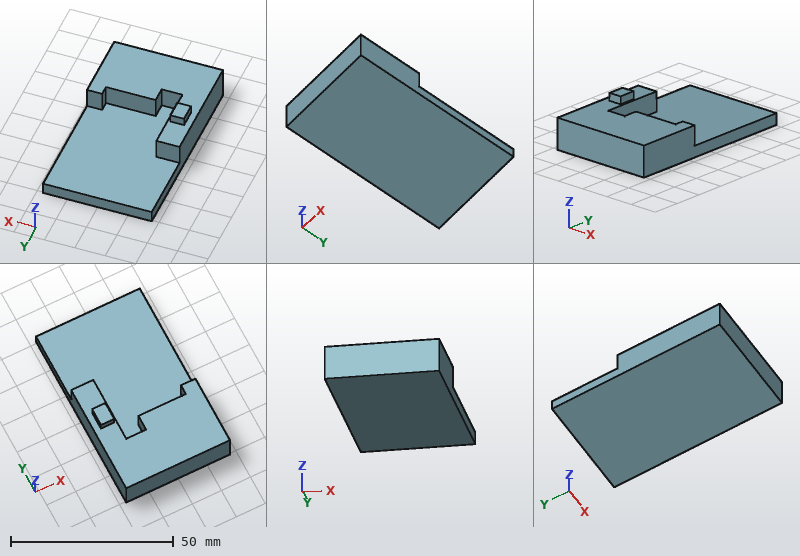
import cadquery as cq

width = 35.8
length = 60.95
plate_height = 3.9

block_height = 10.6
left_arm_width = 7.6
left_arm_depth = 37.2
recess_right = 14.45
recess_depth = 14.9
middle_depth = 20.05
right_arm_left = 30.8
right_arm_depth = 23.35

total_height = 13.2
button_width = 4.6
button_length = 6.05
button_left = 2.25
button_front = 21.45


def make_plate():
    return cq.Workplane("XY").box(width, length, plate_height, centered=False)


def make_block():
    outline = [
        (0, 0),
        (width, 0),
        (width, right_arm_depth),
        (right_arm_left, right_arm_depth),
        (right_arm_left, middle_depth),
        (recess_right, middle_depth),
        (recess_right, recess_depth),
        (left_arm_width, recess_depth),
        (left_arm_width, left_arm_depth),
        (0, left_arm_depth),
    ]
    return cq.Workplane("XY").polyline(outline).close().extrude(block_height)


def make_button():
    button_height = total_height - block_height
    return (
        cq.Workplane("XY")
        .box(button_width, button_length, button_height, centered=False)
        .translate((button_left, button_front, block_height))
    )


result = make_plate().union(make_block()).union(make_button())